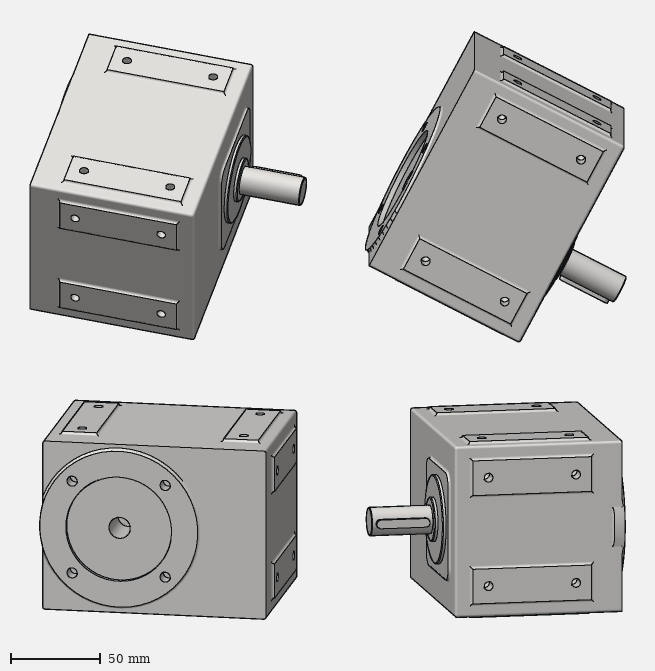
import cadquery as cq
import math


raise_height = 1.5
seam_margin = 0.1
diagonal = math.sqrt(0.5)

housing_length = 95.1
overall_width = 130.0
overall_height = 100
housing_height = overall_height - 2 * raise_height
housing_width = overall_width - 2 * raise_height
housing_offset_y = -20.0
side_face_y = housing_offset_y + housing_width / 2
housing_front_x = raise_height
housing_back_x = housing_front_x + housing_length
edge_radius = 1.5

pad_length = 67.7
pad_width = 19.7
pad_middle_x = 53.0
pad_spacing_across_y = 91.8
pad_spacing_across_z = 61.5
pad_hole_diameter = 5.0
pad_hole_spacing = 49.9
pad_hole_depth = 10.0
drill_tip_angle = 118

flange_diameter = 89.9
flange_depth = 6.0
flare_radius = raise_height
bulge_blend_radius = 1.2
pilot_diameter = 60.0
pilot_depth = 3.0
bore_diameter = 12.0
bore_depth = 30.1
flange_hole_diameter = 5.8
flange_hole_spacing = 52.9
flange_hole_depth = 10.0

cover_size = 61.0
cover_corner_radius = 7.5
step_thickness = 2.0
step_diameters = [50.0, 25.0]
step_chamfer = 0.5
shaft_diameter = 16.0
shaft_end_x = 137
shaft_chamfer = 0.4
key_length = 30.4
key_width = 5.0
key_top = 10.1
key_middle_x = 119.3


def housing():
    """Block with every edge rounded except those around the motor end."""
    block = cq.Workplane("YZ", origin=(housing_front_x, housing_offset_y, 0))
    block = block.rect(housing_width, housing_height).extrude(housing_length)
    return block.edges("|X or >X").fillet(edge_radius)


def add_motor_flange(body):
    """Disc set into the motor end; it bulges slightly out of the +Y side, with blended walls."""
    disc = cq.Workplane("YZ").circle(flange_diameter / 2).extrude(flange_depth)
    body = body.union(disc)
    near_side_seam = cq.selectors.BoxSelector(
        (housing_front_x + seam_margin, side_face_y - seam_margin, -flange_diameter / 2),
        (flange_depth + seam_margin, side_face_y + seam_margin, flange_diameter / 2),
    )
    return body.edges(near_side_seam).fillet(bulge_blend_radius).union(flange_flare())


def flange_flare():
    """Concave ring from the flange rim out to the motor end, stopping at the +Y side face."""
    inner = flange_diameter / 2
    outer = inner + flare_radius
    mid_step = flare_radius * (1 - diagonal)
    profile = cq.Workplane("XY").moveTo(0, inner)
    profile = profile.threePointArc((flare_radius - mid_step, inner + mid_step), (flare_radius, outer))
    profile = profile.lineTo(flare_radius, inner - flare_radius).lineTo(0, inner - flare_radius).close()
    ring = profile.revolve(360, (0, 0), (1, 0))
    inside_side_face = cq.Workplane("YZ", origin=(0, side_face_y - outer, 0)).rect(2 * outer, 2 * outer)
    return ring.intersect(inside_side_face.extrude(flare_radius))


def side_planes():
    """For each long side: a plane on its face (X along the shaft), and the pad spacing."""
    half_width = housing_width / 2
    half_height = housing_height / 2
    sides = [
        ((0, 0, 1), half_height, pad_spacing_across_y),
        ((0, 0, -1), half_height, pad_spacing_across_y),
        ((0, 1, 0), half_width, pad_spacing_across_z),
        ((0, -1, 0), half_width, pad_spacing_across_z),
    ]
    for normal, reach, spacing in sides:
        origin = (pad_middle_x, housing_offset_y + normal[1] * reach, normal[2] * reach)
        yield cq.Plane(origin=origin, xDir=(1, 0, 0), normal=normal), spacing


def flared_profile(workplane, top_width):
    """Cross-section of a raised bar; both flanks are quarter arcs curving out to its foot."""
    half_top = top_width / 2
    half_foot = half_top + raise_height
    mid_width = half_foot - raise_height * diagonal
    mid_height = raise_height * (1 - diagonal)
    outline = workplane.moveTo(-half_foot, 0)
    outline = outline.threePointArc((-mid_width, mid_height), (-half_top, raise_height))
    outline = outline.lineTo(half_top, raise_height)
    outline = outline.threePointArc((mid_width, mid_height), (half_foot, 0))
    return outline.close()


def mounting_pad():
    """One pad lying on the XY plane; crossing two flared bars gives the mitred corners."""
    lengthwise = flared_profile(cq.Workplane("YZ"), pad_width).extrude(pad_length, both=True)
    crosswise = flared_profile(cq.Workplane("XZ"), pad_length).extrude(pad_length, both=True)
    return lengthwise.intersect(crosswise).val()


def mounting_pads():
    """Two pads on each long side."""
    pad = mounting_pad()
    pads = cq.Workplane()
    for plane, spacing in side_planes():
        side = cq.Workplane(plane).pushPoints([(0, -spacing / 2), (0, spacing / 2)])
        pads = pads.add(side.eachpoint(lambda place: pad.moved(place), useLocalCoordinates=True))
    return pads.combine()


def pad_holes():
    """Blind drilled holes with conical bottoms, two in each pad."""
    radius = pad_hole_diameter / 2
    tip_length = radius / math.tan(math.radians(drill_tip_angle / 2))
    drill_profile = [(0, 0), (radius, 0), (radius, -pad_hole_depth), (0, -pad_hole_depth - tip_length)]
    drill = cq.Workplane("XZ").polyline(drill_profile).close().revolve(360, (0, 0), (0, 1)).val()
    holes = cq.Workplane()
    for plane, spacing in side_planes():
        face = cq.Workplane(plane).workplane(offset=raise_height)
        face = face.rect(pad_hole_spacing, spacing, forConstruction=True).vertices()
        holes = holes.add(face.eachpoint(lambda place: drill.moved(place), useLocalCoordinates=True))
    return holes.combine()


def add_cover(body):
    """Rounded square cover on the output end, its wall a concave blend of its full height."""
    cover_top_x = housing_back_x + raise_height
    tall_plate = cq.Workplane("YZ", origin=(housing_back_x, 0, 0)).rect(cover_size, cover_size)
    tall_plate = tall_plate.extrude(2 * raise_height).edges("|X").fillet(cover_corner_radius)
    around_seam = cq.selectors.BoxSelector(
        (housing_back_x - seam_margin, -cover_size / 2 - seam_margin, -cover_size / 2 - seam_margin),
        (housing_back_x + seam_margin, cover_size / 2 + seam_margin, cover_size / 2 + seam_margin),
    )
    blended = body.union(tall_plate).edges(around_seam).fillet(raise_height)
    trim = cq.Workplane("YZ", origin=(cover_top_x, 0, 0)).rect(2 * cover_size, 2 * cover_size)
    return blended.cut(trim.extrude(2 * raise_height))


def output_end():
    """Two stepped discs and the shaft, stacked along +X from the cover."""
    parts = cq.Workplane()
    x = housing_back_x + raise_height
    for diameter in step_diameters:
        step = cq.Workplane("YZ", origin=(x, 0, 0)).circle(diameter / 2).extrude(step_thickness)
        parts = parts.add(step.faces(">X").chamfer(step_chamfer))
        x += step_thickness
    shaft = cq.Workplane("YZ", origin=(x, 0, 0)).circle(shaft_diameter / 2).extrude(shaft_end_x - x)
    return parts.add(shaft.faces(">X").chamfer(shaft_chamfer)).combine()


def shaft_key():
    """Round-ended parallel key standing out of the shaft toward +Y."""
    key = cq.Workplane("XZ", origin=(key_middle_x, key_top, 0))
    return key.slot2D(key_length, key_width).extrude(key_top)


def motor_flange_cuts():
    """Round pilot recess, motor shaft bore and four blind bolt holes."""
    face = cq.Workplane("YZ")
    pilot = face.circle(pilot_diameter / 2).extrude(pilot_depth)
    bore = face.circle(bore_diameter / 2).extrude(bore_depth)
    bolt_square = face.rect(flange_hole_spacing, flange_hole_spacing, forConstruction=True)
    bolts = bolt_square.vertices().circle(flange_hole_diameter / 2).extrude(flange_hole_depth)
    return pilot.union(bore).union(bolts)


result = add_cover(add_motor_flange(housing()))
result = result.union(mounting_pads()).union(output_end()).union(shaft_key())
result = result.cut(motor_flange_cuts()).cut(pad_holes())